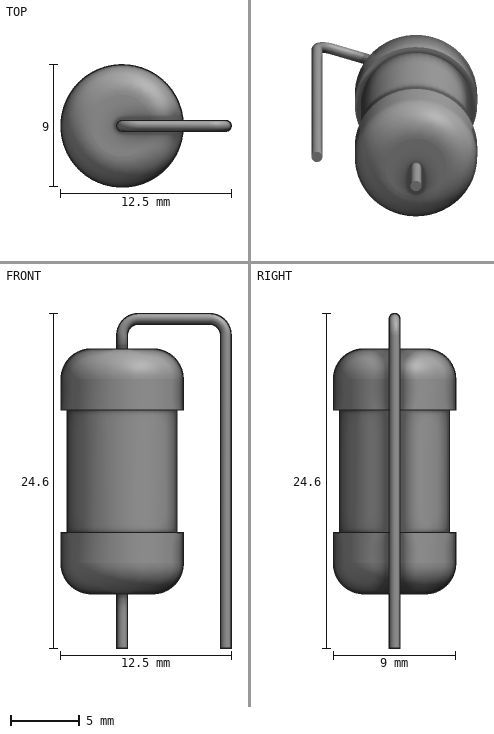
import cadquery as cq
import math


body_length = 18.0
cap_diameter = 9.0
barrel_diameter = 8.1
cap_length = body_length / 4
cap_round = cap_diameter / 4
body_bottom = 1.0
body_top = body_bottom + body_length

lead_diameter = 0.8
lead_pitch = 7.62
lead_bottom = -3.0
neck_length = 1.0
bend_radius = 1.5 * lead_diameter
bend_start = body_top + neck_length
lead_top_axis = bend_start + bend_radius


def cylinder(diameter, bottom, top):
    """Cylinder on the Z axis between two heights."""
    return cq.Workplane("XY").workplane(offset=bottom).circle(diameter / 2).extrude(top - bottom)


def make_body():
    """Slim barrel with a wider, rounded cap at each end."""
    barrel = cylinder(barrel_diameter, body_bottom + cap_length, body_top - cap_length)
    lower_cap = cylinder(cap_diameter, body_bottom, body_bottom + cap_length)
    lower_cap = lower_cap.faces("<Z").edges().fillet(cap_round)
    upper_cap = cylinder(cap_diameter, body_top - cap_length, body_top)
    upper_cap = upper_cap.faces(">Z").edges().fillet(cap_round)
    return barrel.union(lower_cap).union(upper_cap)


def make_straight_lead():
    """Lead leaving the bottom of the body along its axis."""
    return cylinder(lead_diameter, lead_bottom, body_bottom)


def make_bent_lead():
    """Lead leaving the top, turning over in the XZ plane and running down to the board."""
    bend_inset = bend_radius * (1 - math.cos(math.radians(45)))
    path = (
        cq.Workplane("XZ")
        .moveTo(0, body_top)
        .lineTo(0, bend_start)
        .threePointArc(
            (bend_inset, lead_top_axis - bend_inset),
            (bend_radius, lead_top_axis),
        )
        .lineTo(lead_pitch - bend_radius, lead_top_axis)
        .threePointArc(
            (lead_pitch - bend_inset, lead_top_axis - bend_inset),
            (lead_pitch, bend_start),
        )
        .lineTo(lead_pitch, lead_bottom)
    )
    profile = cq.Workplane("XY").workplane(offset=body_top).circle(lead_diameter / 2)
    return profile.sweep(path)


result = make_body().union(make_straight_lead()).union(make_bent_lead())